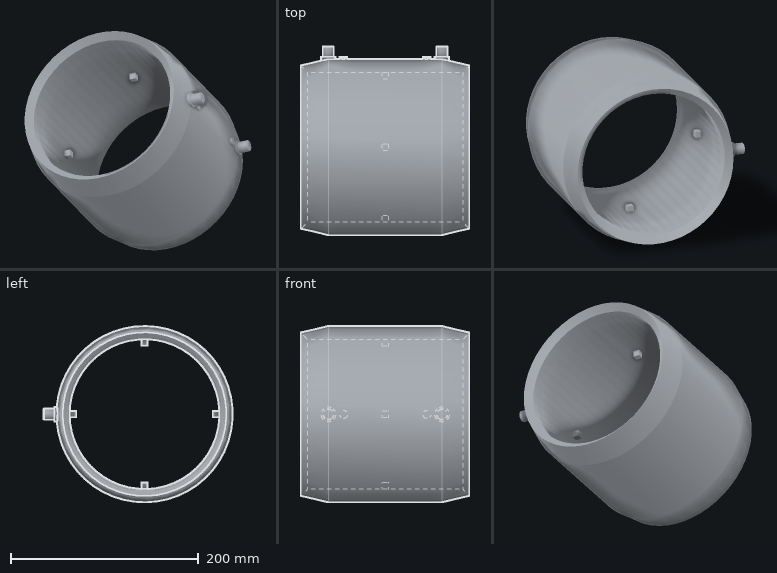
import cadquery as cq

length = 179.3
outer_radius = 93.9
end_radius = 87.0
bore_radius = 79.5
taper_length = 29.2
funnel_length = 7.0

overall_depth = 201.5
pin_tip = overall_depth - outer_radius
pin_diameter = 12.0
pin_chamfer = 0.8
pin_offset = length / 2 - taper_length
collar_diameter = 15.7
collar_top = pin_tip - 11.5
button_diameter = 8.5
button_offset = 44.3
boss_root = (bore_radius + outer_radius) / 2

peg_count = 4
peg_width = 6.9
peg_tip_radius = 72.5


def make_sleeve():
    half = length / 2
    shoulder = half - taper_length
    funnel_end = half - funnel_length
    profile = [
        (funnel_end, bore_radius),
        (-funnel_end, bore_radius),
        (-half, end_radius),
        (-shoulder, outer_radius),
        (shoulder, outer_radius),
        (half, end_radius),
    ]
    return cq.Workplane("XY").polyline(profile).close().revolve(360, (0, 0, 0), (1, 0, 0))


def make_boss(x, diameter, top):
    """Round boss along +Y, rooted inside the sleeve wall."""
    plane = cq.Workplane("XZ", origin=(x, boss_root, 0))
    return plane.circle(diameter / 2).extrude(boss_root - top)


def make_terminal(x):
    pin = make_boss(x, pin_diameter, pin_tip).faces(">Y").chamfer(pin_chamfer)
    return pin.union(make_boss(x, collar_diameter, collar_top))


def make_peg(angle):
    """Peg reaching radially from the sleeve wall into the bore."""
    height = boss_root - peg_tip_radius
    peg = cq.Workplane("XY").box(peg_width, peg_width, height, centered=(True, True, False))
    return peg.translate((0, 0, peg_tip_radius)).rotate((0, 0, 0), (1, 0, 0), angle)


result = make_sleeve()
for side in (-1, 1):
    result = result.union(make_terminal(side * pin_offset))
    result = result.union(make_boss(side * button_offset, button_diameter, collar_top))
for index in range(peg_count):
    result = result.union(make_peg(index * 360 / peg_count))